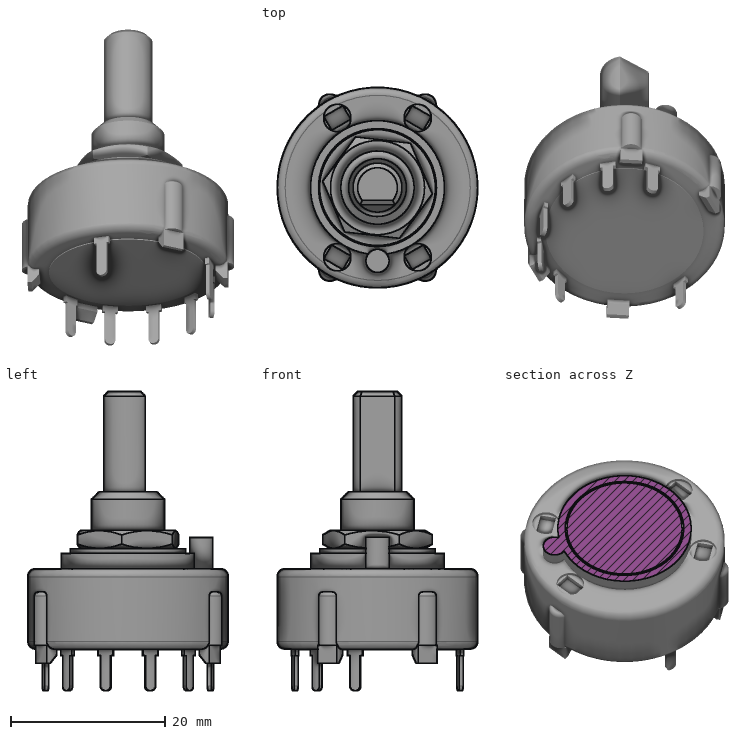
import cadquery as cq
import math


case_radius = 13.0
case_height = 10.4
case_edge_fillet = 1.0
base_plate_radius = 10.25
base_plate_drop = 0.12

collar_radius = 8.68
collar_height = 2.0
washer_radius = 7.5
washer_thickness = 0.6
washer_seat_radius = 7.65
washer_seat_depth = 0.5
nut_across_flats = 12.4
nut_thickness = 2.4
nut_turn = 53.4
nut_sides = 6
nut_chamfer_radius = 6.1
nut_chamfer_angle = 30.0

bushing_radius = 4.75
bushing_top = 10.0
bushing_chamfer = 1.0
shaft_radius = 3.175
bore_depth = 2.0
shaft_top = 22.99
shaft_flat_offset = 2.25
shaft_chamfer = 0.6

peg_radius = 1.5
peg_offset = 9.5
peg_height = 4.06

latch_angles = (60, 120, 240, 300)
latch_width = 2.85
rib_radius = latch_width / 2
rib_center = 12.36
rib_top = -3.0
rib_bottom = -9.94
rib_fillet = 0.5
barb_bottom = -12.25
barb_tip_width = 0.55
barb_inner = 11.45
barb_lead_in = 1.1
opening_radius = 3.55 / 2
opening_center = 10.42
recess_depth = 0.45
slot_inner = 9.4
slot_depth = 0.85

pin_angles = (15, 105, 135, 165, 195, 225, 255)
pin_circle_radius = 11.07
pin_width = 1.35
pin_thickness = 0.52
pin_tip = -15.81
pin_tip_radius = 0.64
pin_shoulder_width = 2.0
pin_shoulder_drop = 0.85

overlap = 0.5


def cylinder(radius, bottom, top):
    return cq.Workplane("XY").workplane(offset=bottom).circle(radius).extrude(top - bottom)


def box(x_min, x_max, width, bottom, top):
    """Box from x_min to x_max, centred on Y."""
    size = (x_max - x_min, width, top - bottom)
    return cq.Workplane("XY").box(*size, centered=(False, True, False)).translate((x_min, 0, bottom))


def turned(shape, angle):
    return shape.rotate((0, 0, 0), (0, 0, 1), angle)


def make_case():
    case = cylinder(case_radius, -case_height, 0).edges().fillet(case_edge_fillet)
    return case.union(cylinder(base_plate_radius, -case_height - base_plate_drop, -case_height))


def make_collar():
    """Collar with a shallow seat that leaves a thin gap around the washer."""
    collar = cylinder(collar_radius, -overlap, collar_height)
    seat = cylinder(washer_seat_radius, collar_height - washer_seat_depth, collar_height)
    washer_top = collar_height + washer_thickness
    washer = cylinder(washer_radius, collar_height - washer_seat_depth, washer_top)
    return collar.cut(seat).union(washer)


def make_nut():
    """Hexagon nut with its corners bevelled by a cone at both ends."""
    bottom = collar_height + washer_thickness
    top = bottom + nut_thickness
    corner_radius = nut_across_flats / 2 / math.cos(math.pi / nut_sides)
    bevel = (corner_radius - nut_chamfer_radius) * math.tan(math.radians(nut_chamfer_angle))
    base = cq.Workplane("XY").workplane(offset=bottom)
    hexagon = base.polygon(nut_sides, 2 * corner_radius).extrude(nut_thickness)
    envelope = (
        cq.Workplane("XZ")
        .moveTo(0, bottom)
        .lineTo(nut_chamfer_radius, bottom)
        .lineTo(corner_radius, bottom + bevel)
        .lineTo(corner_radius, top - bevel)
        .lineTo(nut_chamfer_radius, top)
        .lineTo(0, top)
        .close()
        .revolve(360, (0, 0, 0), (0, 1, 0))
    )
    return turned(hexagon, nut_turn).intersect(envelope)


def make_bushing():
    """Chamfered bushing, bored for the shaft."""
    bushing = cylinder(bushing_radius, 0, bushing_top).faces(">Z").chamfer(bushing_chamfer)
    return bushing.cut(cylinder(shaft_radius, bushing_top - bore_depth, bushing_top))


def make_shaft():
    """D-shaped shaft with its flat on the -Y side, chamfered at the top and standing in the bore."""
    bottom = bushing_top - bore_depth - overlap
    half_flat = math.sqrt(shaft_radius**2 - shaft_flat_offset**2)
    shaft = (
        cq.Workplane("XY")
        .workplane(offset=bottom)
        .moveTo(-half_flat, -shaft_flat_offset)
        .threePointArc((0, shaft_radius), (half_flat, -shaft_flat_offset))
        .close()
        .extrude(shaft_top - bottom)
    )
    return shaft.faces(">Z").chamfer(shaft_chamfer)


def make_peg():
    return cylinder(peg_radius, -overlap, peg_height).translate((0, -peg_offset, 0))


def make_latch():
    """Rib on the case wall with an inward barb below it, placed on the +X axis."""
    rib = cylinder(rib_radius, rib_bottom, rib_top).faces(">Z").edges().fillet(rib_fillet)
    barb_tip_inner = case_radius - barb_tip_width
    barb = (
        cq.Workplane("XZ")
        .moveTo(case_radius, rib_bottom)
        .lineTo(case_radius, barb_bottom)
        .lineTo(barb_tip_inner, barb_bottom)
        .lineTo(barb_inner, barb_bottom + barb_lead_in)
        .lineTo(barb_inner, rib_bottom)
        .close()
        .extrude(latch_width / 2, both=True)
    )
    return rib.translate((rib_center, 0, 0)).union(barb)


def make_latch_opening():
    """Round recess in the top face with a rectangular slot in its floor, on the +X axis."""
    slot_bottom = -recess_depth - slot_depth
    recess = cylinder(opening_radius, -recess_depth, 0)
    slot_outline = cylinder(opening_radius, slot_bottom, 0)
    slot = box(slot_inner - opening_center, barb_inner - opening_center, latch_width, slot_bottom, 0)
    return recess.union(slot.intersect(slot_outline)).translate((opening_center, 0, 0))


def make_pin():
    """Flat terminal with a shoulder and rounded tip, its wide face towards +X."""
    inner = pin_circle_radius - pin_thickness / 2
    outer = pin_circle_radius + pin_thickness / 2
    top = -case_height + overlap
    blade = box(inner, outer, pin_width, pin_tip, top)
    blade = blade.faces("<Z").edges("|X").fillet(pin_tip_radius)
    shoulder_bottom = -case_height - pin_shoulder_drop
    return blade.union(box(inner, outer, pin_shoulder_width, shoulder_bottom, top))


result = make_case()
for angle in latch_angles:
    result = result.union(turned(make_latch(), angle))
    result = result.cut(turned(make_latch_opening(), angle))
for angle in pin_angles:
    result = result.union(turned(make_pin(), angle))
for body in (make_collar(), make_nut(), make_bushing(), make_shaft(), make_peg()):
    result = result.union(body)